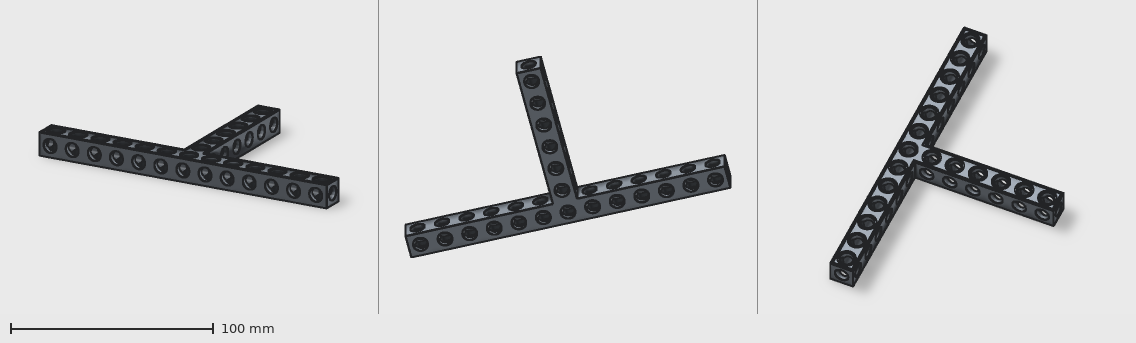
import cadquery as cq

bar_length = 162.5
bar_holes = 13
stem_holes = 6
hole_diameter = 7.0
ring_diameter = 9.3
rim_width = 1.1
panel_depth = 0.2
edge_chamfer = 0.3

pitch = bar_length / bar_holes
half_pitch = pitch / 2
half_length = bar_length / 2
total_width = (stem_holes + 1) * pitch
stem_end = total_width - half_pitch
middle_hole = bar_holes // 2

bar_positions = [(i - middle_hole) * pitch for i in range(bar_holes)]
stem_positions = [(i + 1) * pitch for i in range(stem_holes)]
plan_centres = [(x, 0) for x in bar_positions] + [(0, y) for y in stem_positions]


def tee(inset, bottom, height):
    """T-shaped prism whose outline lies the given inset inside the beam walls."""
    width = pitch - 2 * inset
    stem_length = total_width - 2 * inset
    bar = cq.Workplane("XY").box(bar_length - 2 * inset, width, height, (True, True, False))
    stem = cq.Workplane("XY").box(width, stem_length, height, (True, False, False))
    stem = stem.translate((0, inset - half_pitch, 0))
    return bar.union(stem).translate((0, 0, bottom))


def recessed_panel():
    """Shallow recess inside the top rim that leaves a raised ring around each hole."""
    floor = half_pitch - panel_depth
    rings = (
        cq.Workplane("XY", origin=(0, 0, floor))
        .pushPoints(plan_centres)
        .circle(ring_diameter / 2)
        .extrude(panel_depth)
    )
    return tee(rim_width, floor, panel_depth).cut(rings)


def through_hole(start, end):
    """Round hole from start to end, chamfered at both mouths."""
    axis = end - start
    radius = hole_diameter / 2
    bore = cq.Solid.makeCylinder(radius, axis.Length, start, axis)
    entry = cq.Solid.makeCone(radius + edge_chamfer, radius, edge_chamfer, start, axis)
    outlet = cq.Solid.makeCone(radius + edge_chamfer, radius, edge_chamfer, end, -axis)
    return [bore, entry, outlet]


hole_cutters = []

for x, y in plan_centres:
    hole_cutters += through_hole(cq.Vector(x, y, -half_pitch), cq.Vector(x, y, half_pitch))

for i, x in enumerate(bar_positions):
    back = stem_end if i == middle_hole else half_pitch
    hole_cutters += through_hole(cq.Vector(x, -half_pitch, 0), cq.Vector(x, back, 0))

for y in stem_positions:
    hole_cutters += through_hole(cq.Vector(-half_pitch, y, 0), cq.Vector(half_pitch, y, 0))

hole_cutters += through_hole(cq.Vector(-half_length, 0, 0), cq.Vector(half_length, 0, 0))

body = tee(0, -half_pitch, pitch).edges().chamfer(edge_chamfer).cut(recessed_panel())
result = cq.Workplane("XY").newObject([body.val().cut(*hole_cutters).Solids()[0]])